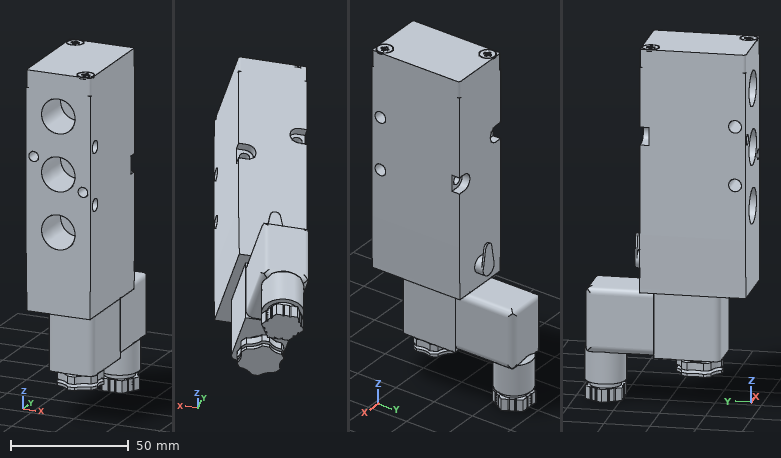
import cadquery as cq
import math

height = 159.0
width = 30.0
depth = 46.0
mid_y = depth / 2

cap_height = 8.0
cap_corner_radius = 1.1
body_bottom = 77.0
base_bottom = 53.0
plate_bottom = 51.2
base_bottom_width = 29.4

port_pitch = 25.9
middle_port_z = 114.2
port_mouth_diameter = 15.6
port_floor_diameter = 15.0
port_depth = 19.1
cross_hole_diameter = 5.5
cross_hole_y = 4.6
through_hole_diameter = 4.5
through_hole_x = 11.5
through_hole_offset_z = port_pitch / 4
slot_width = 8.0
slot_depth = 4.0

screw_x = 11.0
screw_edge_distance = 4.0
screw_hole_diameter = 7.5
screw_head_diameter = 7.0
screw_gap_depth = 0.8
cross_length = 3.5
cross_width = 1.0
cross_depth = 0.5
socket_width = 1.6
socket_depth = 1.0

post_diameter = 8.0
post_length = 4.5
post_z = 61.9
tab_thickness = 1.0
tab_top_z = 73.5
tab_tip_radius = 2.2

coil_width = 21.5
coil_front = 12.0
coil_back = 40.7
coil_bottom = 21.3
coil_edge_radius = 3.0
plug_width = 21.0
plug_back = 70.8
plug_bottom = 21.8
plug_edge_radius = 3.3

stem_diameter = 15.0
nut_top = 19.9
nut_groove_top = 16.5
nut_groove_bottom = 15.1
nut_bottom = 13.7
nut_groove_diameter = 12.7
lobe_count = 6
lobe_radius = 10.0
lobe_width = 3.3
nut_valley_radius = 8.6

gland_diameter = 18.0
gland_back = 72.7
gland_y = gland_back - gland_diameter / 2
gland_shoulder_z = 23.0
gland_chamfer = 2.7
gland_bottom = 8.1
gland_neck_diameter = 13.5
gland_nut_height = 5.7
gland_nut_sides = 6
gland_nut_flats = 16.0
nut_slit_offset = 1.5
nut_slit_width = 0.6
nut_slit_depth = 0.5


def box(x_size, y_min, y_max, z_min, z_max):
    """A box centred on X = 0."""
    return (
        cq.Workplane("XY", origin=(0, 0, z_min))
        .center(0, (y_min + y_max) / 2)
        .rect(x_size, y_max - y_min)
        .extrude(z_max - z_min)
    )


def upright_cylinder(diameter, y, z_min, z_max):
    return cq.Workplane("XY", origin=(0, y, z_min)).circle(diameter / 2).extrude(z_max - z_min)


def make_block():
    """Cap, body, tapered base and end plate, kept as separate faces where they meet."""
    cap_bottom = height - cap_height
    cap = box(width, 0, depth, cap_bottom, height).edges("|Z").fillet(cap_corner_radius)
    body = box(width, 0, depth, body_bottom, cap_bottom)
    base = (
        cq.Workplane("XZ")
        .moveTo(-width / 2, body_bottom)
        .lineTo(width / 2, body_bottom)
        .lineTo(base_bottom_width / 2, base_bottom)
        .lineTo(-base_bottom_width / 2, base_bottom)
        .close()
        .extrude(-depth)
    )
    plate = box(base_bottom_width, 0, depth, plate_bottom, base_bottom)
    return cap.union(body, clean=False).union(base, clean=False).union(plate, clean=False)


def make_ports():
    """Three slightly tapered blind ports in the front face."""
    centres = [(0, middle_port_z + i * port_pitch) for i in (-1, 0, 1)]
    taper = math.degrees(math.atan((port_mouth_diameter - port_floor_diameter) / 2 / port_depth))
    return (
        cq.Workplane("XZ")
        .pushPoints(centres)
        .circle(port_mouth_diameter / 2)
        .extrude(-port_depth, taper=taper)
    )


def make_cross_holes():
    """Two holes through the width, each halfway between two ports."""
    centres = [(cross_hole_y, middle_port_z + side * port_pitch / 2) for side in (-1, 1)]
    return (
        cq.Workplane("YZ", origin=(-width / 2, 0, 0))
        .pushPoints(centres)
        .circle(cross_hole_diameter / 2)
        .extrude(width)
    )


def make_through_hole(side):
    """A hole through the depth whose rear end opens sideways through a round-ended slot."""
    x = side * through_hole_x
    z = middle_port_z - side * through_hole_offset_z
    hole = cq.Workplane("XZ").center(x, z).circle(through_hole_diameter / 2).extrude(-depth)
    slot_floor = cq.Workplane("XZ", origin=(0, depth - slot_depth, 0))
    slot_end = slot_floor.center(x, z).circle(slot_width / 2).extrude(-slot_depth)
    slot_mouth = (
        slot_floor.center(x + side * slot_width / 2, z).rect(slot_width, slot_width).extrude(-slot_depth)
    )
    return hole.union(slot_end).union(slot_mouth)


def make_screw_cut(x, y):
    """The ring gap around a screw head and the cross recess with a deeper square socket."""
    top = cq.Workplane("XY", origin=(x, y, height))
    gap = top.circle(screw_hole_diameter / 2).circle(screw_head_diameter / 2).extrude(-screw_gap_depth)
    slot = top.rect(cross_length, cross_width).extrude(-cross_depth)
    cross_slot = top.rect(cross_width, cross_length).extrude(-cross_depth)
    socket = top.rect(socket_width, socket_width).extrude(-socket_depth)
    return gap.union(slot).union(cross_slot).union(socket)


def make_override():
    """Round post on the rear face with an upright tab, flush with the end of the post."""
    post = (
        cq.Workplane("XZ", origin=(0, depth, 0))
        .center(0, post_z)
        .circle(post_diameter / 2)
        .extrude(-post_length)
    )
    half = post_diameter / 2
    tip_z = tab_top_z - tab_tip_radius
    tip_rise = tip_z - post_z
    lean = math.atan2(half, tip_rise) - math.asin(tab_tip_radius / math.hypot(half, tip_rise))
    tangent_x = tab_tip_radius * math.cos(lean)
    tangent_z = tip_z + tab_tip_radius * math.sin(lean)
    tab = (
        cq.Workplane("XZ", origin=(0, depth + post_length - tab_thickness, 0))
        .moveTo(-half, post_z)
        .lineTo(half, post_z)
        .lineTo(tangent_x, tangent_z)
        .threePointArc((0, tab_top_z), (-tangent_x, tangent_z))
        .close()
        .extrude(-tab_thickness)
    )
    return post.union(tab)


def make_coil():
    coil = box(coil_width, coil_front, coil_back, coil_bottom, plate_bottom)
    return coil.edges("|Z and <Y").fillet(coil_edge_radius)


def make_plug():
    """Plug with rounded edges that run into each other along mitres at the rear corners."""
    plain = box(plug_width, coil_back, plug_back, plug_bottom, plate_bottom)
    rounded = plain.edges("|Y").fillet(plug_edge_radius)
    for rear_edges in ("|X and >Y", "|Z and >Y"):
        rounded = rounded.intersect(plain.edges(rear_edges).fillet(plug_edge_radius))
    return rounded


def make_lobed_disc(z_min, z_max):
    """Disc with narrow round lobes joined by hollow arcs; one lobe points to the front."""
    step = 2 * math.pi / lobe_count
    half_lobe = math.asin(lobe_width / 2 / lobe_radius)

    def polar(radius, angle):
        return (radius * math.cos(angle), radius * math.sin(angle))

    first = -math.pi / 2
    outline = cq.Workplane("XY", origin=(0, mid_y, z_min)).moveTo(*polar(lobe_radius, first - half_lobe))
    for i in range(lobe_count):
        lobe = first + i * step
        valley = lobe + step / 2
        outline = outline.threePointArc(polar(lobe_radius, lobe), polar(lobe_radius, lobe + half_lobe))
        outline = outline.threePointArc(
            polar(nut_valley_radius, valley), polar(lobe_radius, lobe + step - half_lobe)
        )
    return outline.close().extrude(z_max - z_min)


def make_coil_nut():
    """Stem and two lobed discs joined by a neck with a half-round groove."""
    stem = upright_cylinder(stem_diameter, mid_y, nut_top, coil_bottom)
    groove_radius = (nut_groove_top - nut_groove_bottom) / 2
    waist = nut_groove_diameter / 2
    neck = (
        cq.Workplane("XZ", origin=(0, mid_y, 0))
        .moveTo(0, nut_groove_bottom)
        .lineTo(waist + groove_radius, nut_groove_bottom)
        .threePointArc(
            (waist, nut_groove_bottom + groove_radius),
            (waist + groove_radius, nut_groove_top),
        )
        .lineTo(0, nut_groove_top)
        .close()
        .revolve()
    )
    upper = make_lobed_disc(nut_groove_top, nut_top)
    lower = make_lobed_disc(nut_bottom, nut_groove_bottom)
    return stem.union(upper).union(neck).union(lower)


def make_gland():
    """Round gland with a chamfered top, a neck and a hexagonal nut with two slits in each flat."""
    sleeve = upright_cylinder(gland_diameter, gland_y, gland_bottom, gland_shoulder_z + gland_chamfer)
    sleeve = sleeve.faces(">Z").chamfer(gland_chamfer)
    neck = upright_cylinder(gland_neck_diameter, gland_y, gland_nut_height, gland_bottom)
    corner_diameter = gland_nut_flats / math.cos(math.pi / gland_nut_sides)
    nut_plane = cq.Workplane("XY", origin=(0, gland_y, 0))
    nut = nut_plane.polygon(gland_nut_sides, corner_diameter).extrude(gland_nut_height)
    slit_centres = [(side * nut_slit_offset, gland_nut_flats / 2) for side in (-1, 1)]
    slits = (
        nut_plane.pushPoints(slit_centres)
        .rect(nut_slit_width, 2 * nut_slit_depth)
        .extrude(gland_nut_height)
    )
    for i in range(gland_nut_sides):
        nut = nut.cut(slits.rotate((0, gland_y, 0), (0, gland_y, 1), 360 / gland_nut_sides * i))
    return sleeve.union(neck).union(nut)


result = make_block()
for addition in (make_override(), make_coil(), make_plug(), make_coil_nut(), make_gland()):
    result = result.union(addition, clean=False)

cuts = [make_ports(), make_cross_holes(), make_through_hole(-1), make_through_hole(1)]
cuts.append(make_screw_cut(-screw_x, depth - screw_edge_distance))
cuts.append(make_screw_cut(screw_x, screw_edge_distance))
for cut in cuts:
    result = result.cut(cut, clean=False)